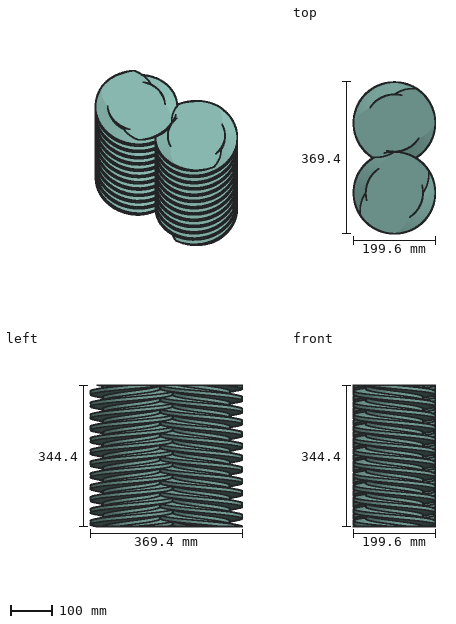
import cadquery as cq
import math

screw_length = 344.4
crest_radius = 199.6 / 2
root_radius = 139.72 / 2
axis_distance = 169.79
turns = 6
starts = 2

start_angle = 360 / starts
crest_angle = 56
mesh_clearance_angle = 2
root_angle = crest_angle + mesh_clearance_angle
flank_angle = (start_angle - crest_angle - root_angle) / 2

left_hand_crest_direction = 61.5
right_hand_crest_direction = 90 - left_hand_crest_direction

flank_points = 12


def polar_point(radius, angle):
    return (radius * math.cos(math.radians(angle)), radius * math.sin(math.radians(angle)))


def flank_spiral(start_radius, end_radius, begin_angle):
    """Curve of a straight-sided flank in the cross-section: radius changes linearly with angle."""
    def point(t):
        radius = start_radius + (end_radius - start_radius) * t
        return polar_point(radius, begin_angle + flank_angle * t)

    return point


def screw_section(crest_direction):
    """Closed cross-section of the screw with one crest centred on crest_direction."""
    section = cq.Workplane("XY").moveTo(*polar_point(crest_radius, crest_direction - crest_angle / 2))
    for start in range(starts):
        crest_middle = crest_direction + start * start_angle
        crest_end = crest_middle + crest_angle / 2
        root_begin = crest_end + flank_angle
        root_end = root_begin + root_angle
        section = (
            section
            .threePointArc(polar_point(crest_radius, crest_middle), polar_point(crest_radius, crest_end))
            .parametricCurve(
                flank_spiral(crest_radius, root_radius, crest_end), N=flank_points, makeWire=False
            )
            .threePointArc(
                polar_point(root_radius, root_begin + root_angle / 2), polar_point(root_radius, root_end)
            )
            .parametricCurve(
                flank_spiral(root_radius, crest_radius, root_end), N=flank_points, makeWire=False
            )
        )
    return section.close()


def screw(crest_direction, hand, axis_y):
    """Section twisted along Z; hand is +1 for a right-handed and -1 for a left-handed screw."""
    body = screw_section(crest_direction).twistExtrude(screw_length, hand * turns * 360)
    return body.translate((0, axis_y, 0))


left_hand_screw = screw(left_hand_crest_direction, -1, 0)
right_hand_screw = screw(right_hand_crest_direction, 1, axis_distance)

result = cq.Compound.makeCompound([left_hand_screw.val(), right_hand_screw.val()])